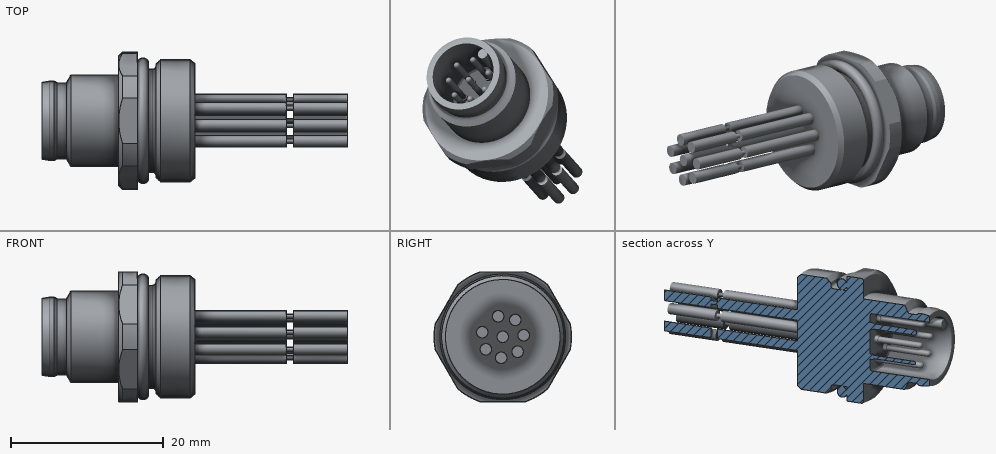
import cadquery as cq
import math


mouth_d = 10.05
neck_d = 9.95
bead_d = 10.4
bead_shoulder_d = 10.3
bead_crest_start = 1.0
bead_crest_end = 1.6
bead_shoulder = 1.7
neck_start = 2.0
neck_end = 3.2

shell_d = 12.0
shell_cone_length = 0.6

hex_start = 10.0
hex_end = 12.5
hex_across_flats = 17.0
hex_corner_d = 18.0
hex_face_d = 16.9
hex_chamfer_length = 0.55

oring_section_d = 1.5
oring_seat_d = 13.5
oring_squeeze = 0.02

collar_start = 14.9
collar_fillet = 0.4
collar_end = 20.0
collar_d = 16.0
collar_front_face_d = 14.8
collar_front_chamfer_length = 0.65
collar_rear_face_d = 15.0
collar_rear_chamfer_length = 0.6

bore_d = 8.38
bore_floor_d = 7.9
bore_floor_cone_length = 0.15
bore_depth = 9.0
key_d = 1.3
key_angle = 135.0
key_circle_d = 7.3
key_start = 0.3
key_overlap = 0.02

embed = 1.0

pin_d = 0.8
pin_shoulder_d = 1.0
pin_shoulder_height = 0.5
pin_tip = 2.0
ring_pin_count = 7
pin_circle_d = 5.5
pin_pitch_angle = 49.2

wire_d = 1.5
conductor_d = 0.56
strip_start = 32.0
strip_end = 32.9
wire_end = 40.0


def cylinder(diameter, start, end, y=0.0, z=0.0):
    """Round bar parallel to X from start to end."""
    plane = cq.Workplane("YZ", origin=(start, 0, 0))
    return plane.center(y, z).circle(diameter / 2).extrude(end - start)


def revolve_profile(points):
    """Solid of revolution about X from (x, diameter) points, closed along the axis."""
    outline = [(x, diameter / 2) for x, diameter in points]
    outline = [(points[0][0], 0)] + outline + [(points[-1][0], 0)]
    return cq.Workplane("XY").polyline(outline).close().revolve(360, (0, 0, 0), (1, 0, 0))


def polar(circle_d, angle):
    """(y, z) of a point on a circle about X, with the angle measured from +Y towards +Z."""
    radians = math.radians(angle)
    return circle_d / 2 * math.cos(radians), circle_d / 2 * math.sin(radians)


def make_shell():
    """Turned body: nose, shell, O-ring groove and rear collar."""
    shell = revolve_profile([
        (0, mouth_d),
        (bead_crest_start, bead_d),
        (bead_crest_end, bead_d),
        (bead_shoulder, bead_shoulder_d),
        (neck_start, neck_d),
        (neck_end, neck_d),
        (neck_end + shell_cone_length, shell_d),
        (hex_end, shell_d),
        (hex_end, oring_seat_d),
        (collar_start, oring_seat_d),
        (collar_start, collar_front_face_d),
        (collar_start + collar_front_chamfer_length, collar_d),
        (collar_end - collar_rear_chamfer_length, collar_d),
        (collar_end, collar_rear_face_d),
    ])

    pick_margin = collar_fillet / 10
    collar_foot = cq.selectors.BoxSelector(
        (collar_start - pick_margin, -collar_d, -collar_d),
        (collar_start + pick_margin, collar_d, collar_d),
    )
    foot_edges = shell.edges("%CIRCLE").edges(collar_foot)
    return foot_edges.edges(cq.selectors.RadiusNthSelector(0)).fillet(collar_fillet)


def make_hexagon():
    """Hexagonal flange with turned corners and a chamfered front face."""
    across_corners = hex_across_flats / math.cos(math.pi / 6)
    prism = (
        cq.Workplane("YZ", origin=(hex_start, 0, 0))
        .polygon(6, across_corners)
        .extrude(hex_end - hex_start)
    )
    turned_blank = revolve_profile([
        (hex_start, hex_face_d),
        (hex_start + hex_chamfer_length, hex_corner_d),
        (hex_end, hex_corner_d),
    ])
    return prism.intersect(turned_blank)


def make_oring():
    """O-ring in the groove directly behind the hexagon."""
    section_x = hex_end + oring_section_d / 2 - oring_squeeze
    section_y = (oring_seat_d + oring_section_d) / 2 - oring_squeeze
    section = cq.Workplane("XY").center(section_x, section_y).circle(oring_section_d / 2)
    return section.revolve(360, (0, -section_y, 0), (1, -section_y, 0))


def make_bore():
    """Socket cavity with a short cone at its floor."""
    cone_start = bore_depth - bore_floor_cone_length
    return revolve_profile([(0, bore_d), (cone_start, bore_d), (bore_depth, bore_floor_d)])


def make_key():
    """Key rib, trimmed to the bore so that it does not enter the nose wall."""
    y, z = polar(key_circle_d, key_angle)
    key_end = bore_depth + embed
    key_bar = cylinder(key_d, key_start, key_end, y, z)
    bore_envelope = cylinder(bore_d + key_overlap, key_start, key_end)
    return key_bar.intersect(bore_envelope)


def contact_positions():
    """(y, z) of the centre contact and of the ring, which leaves a wider gap at the key."""
    middle_angle = key_angle + 180
    middle_index = (ring_pin_count - 1) / 2
    ring = [
        polar(pin_circle_d, middle_angle + (index - middle_index) * pin_pitch_angle)
        for index in range(ring_pin_count)
    ]
    return [(0.0, 0.0)] + ring


def make_pin(y, z):
    """Domed contact pin with a wider shoulder standing on the socket floor."""
    radius = pin_d / 2
    dome_centre = pin_tip + radius
    dome_midpoint = (dome_centre - radius * math.cos(math.pi / 4), radius * math.sin(math.pi / 4))
    pin = (
        cq.Workplane("XY")
        .moveTo(pin_tip, 0)
        .threePointArc(dome_midpoint, (dome_centre, radius))
        .lineTo(bore_depth - pin_shoulder_height, radius)
        .lineTo(bore_depth - pin_shoulder_height, pin_shoulder_d / 2)
        .lineTo(bore_depth + embed, pin_shoulder_d / 2)
        .lineTo(bore_depth + embed, 0)
        .close()
        .revolve(360, (0, 0, 0), (1, 0, 0))
    )
    return pin.translate((0, y, z))


def make_wire(y, z):
    """Insulated wire with its conductor bare across the stripped gap."""
    root = collar_end - embed
    conductor = cylinder(conductor_d, root, wire_end, y, z)
    inner_sleeve = cylinder(wire_d, root, strip_start, y, z)
    outer_sleeve = cylinder(wire_d, strip_end, wire_end, y, z)
    return conductor.union(inner_sleeve).union(outer_sleeve)


body = make_shell().union(make_hexagon()).union(make_oring())
result = body.cut(make_bore()).union(make_key())
for contact_y, contact_z in contact_positions():
    result = result.union(make_pin(contact_y, contact_z))
    result = result.union(make_wire(contact_y, contact_z))